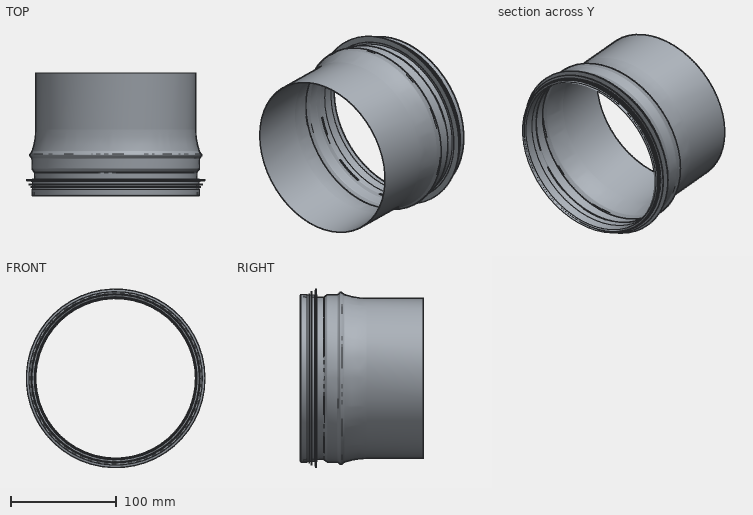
import cadquery as cq
import math


length = 116.5
wall = 0.5

tube_radius = 152.0 / 2
shoulder_radius = 159.0 / 2
bead_radius = 163.6 / 2
neck_radius = 154.2 / 2
mouth_radius = 155.3 / 2

flare_start = 62.8
flare_end = 41.8
bead_back = 39.5
bead_front = 37.6
band_back = 35.4
band_front = 25.5
neck_back = 22.4
mouth_back = 6.3
mouth_front = 3.2
hem_back = 6.3
bend_radius = 1.5
station_tolerance = 0.02

seal_radius = shoulder_radius - wall
seal_back = 15.8
seal_lips = [
    (84.7, 15.5, 1.0, 1.7),
    (164.3 / 2, 11.3, 1.0, 1.0),
    (160.3 / 2, 9.0, 0.8, 0.8),
]

hem_outer_bend = (shoulder_radius - (mouth_radius - wall)) / 2
hem_inner_bend = hem_outer_bend - wall
hem_center_radius = shoulder_radius - hem_outer_bend
hem_center_y = hem_outer_bend

flare_rise = shoulder_radius - tube_radius
flare_run = flare_start - flare_end
flare_arc_radius = (flare_run**2 + flare_rise**2) / (2 * flare_rise)
flare_mid_run = flare_run / 2
flare_mid_radius = tube_radius + flare_arc_radius - math.sqrt(flare_arc_radius**2 - flare_mid_run**2)
flare_mid_y = flare_start - flare_mid_run

crest_bulge = 0.5
crest_edge_radius = bead_radius - crest_bulge
crest_mid_y = (bead_back + bead_front) / 2


def revolve_profile(profile):
    """Close a (radius, y) profile and turn it about the Y axis."""
    return profile.close().revolve(360, (0, 0, 0), (0, 1, 0))


def round_bends(sheet):
    """Round both faces of the sheet at the bends beside the bead and the neck step."""
    for bend_y in (flare_end, band_back, band_front, neck_back):
        bend_edges = sheet.edges(
            cq.selectors.BoxSelector(
                (-length, bend_y - station_tolerance, -length),
                (length, bend_y + station_tolerance, length),
                boundingbox=True,
            )
        )
        sheet = bend_edges.fillet(bend_radius)
    return sheet


def make_coupling():
    """Sheet of constant radial thickness with a flare, bead, neck and hem."""
    profile = (
        cq.Workplane("XY")
        .moveTo(tube_radius, length)
        .lineTo(tube_radius, flare_start)
        .threePointArc((flare_mid_radius, flare_mid_y), (shoulder_radius, flare_end))
        .lineTo(crest_edge_radius, bead_back)
        .threePointArc((bead_radius, crest_mid_y), (crest_edge_radius, bead_front))
        .lineTo(shoulder_radius, band_back)
        .lineTo(shoulder_radius, band_front)
        .lineTo(neck_radius, neck_back)
        .lineTo(neck_radius, mouth_back)
        .lineTo(mouth_radius, mouth_front)
        .lineTo(mouth_radius, hem_center_y)
        .threePointArc(
            (hem_center_radius, hem_center_y - hem_inner_bend), (shoulder_radius - wall, hem_center_y)
        )
        .lineTo(shoulder_radius - wall, hem_back)
        .lineTo(shoulder_radius, hem_back)
        .lineTo(shoulder_radius, hem_center_y)
        .threePointArc((hem_center_radius, 0), (mouth_radius - wall, hem_center_y))
        .lineTo(mouth_radius - wall, mouth_front)
        .lineTo(neck_radius - wall, mouth_back)
        .lineTo(neck_radius - wall, neck_back)
        .lineTo(shoulder_radius - wall, band_front)
        .lineTo(shoulder_radius - wall, band_back)
        .lineTo(crest_edge_radius - wall, bead_front)
        .threePointArc((bead_radius - wall, crest_mid_y), (crest_edge_radius - wall, bead_back))
        .lineTo(shoulder_radius - wall, flare_end)
        .threePointArc((flare_mid_radius - wall, flare_mid_y), (tube_radius - wall, flare_start))
        .lineTo(tube_radius - wall, length)
    )
    return round_bends(revolve_profile(profile))


def make_seal():
    """Sealing ring seated on the neck against the hem, with three thin lips."""
    profile = cq.Workplane("XY").moveTo(neck_radius, seal_back).lineTo(seal_radius, seal_back)
    for lip_radius, lip_back, tip_thickness, root_thickness in seal_lips:
        profile = (
            profile.lineTo(seal_radius, lip_back)
            .lineTo(lip_radius, lip_back)
            .lineTo(lip_radius, lip_back - tip_thickness)
            .lineTo(seal_radius, lip_back - root_thickness)
        )
    profile = profile.lineTo(seal_radius, hem_back).lineTo(neck_radius, hem_back)
    return revolve_profile(profile)


coupling = make_coupling()
seal = make_seal()

result = cq.Compound.makeCompound([coupling.val(), seal.val()])